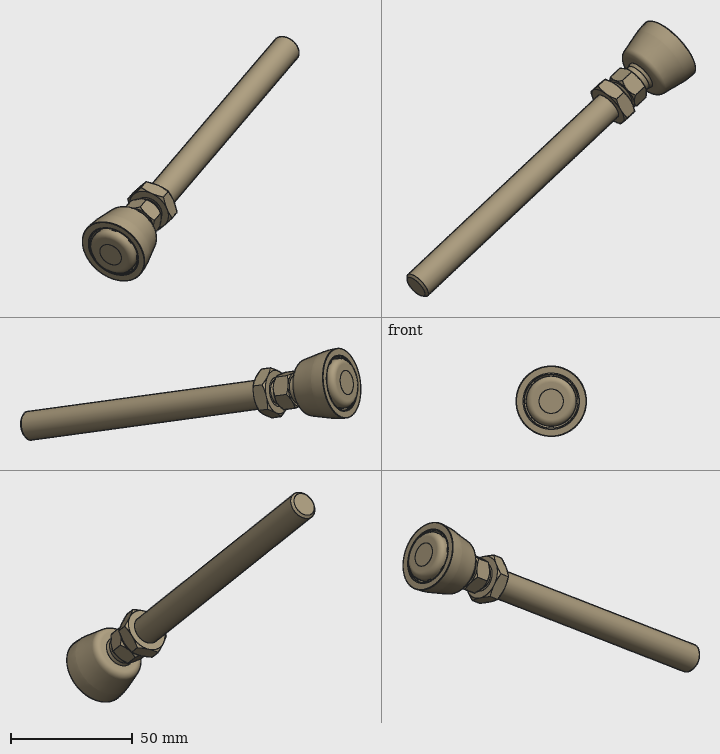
import cadquery as cq
import math


SPINDLE_TOP = 156.5
SHANK_RADIUS = 6.0
SHANK_CHAMFER = 1.0
NECK_TOP_RADIUS = 5.1
NECK_BOTTOM_RADIUS = 4.7
NECK_BOTTOM = 32.6
SPINDLE_HEX_ACROSS_FLATS = 14.0
SPINDLE_HEX_TOP = 31.5
SPINDLE_HEX_BOTTOM = 24.2
SPINDLE_HEX_CORNER_ANGLE = 25.0
HEX_SHOULDER_RADIUS = 5.7
COLLAR_BOTTOM = 21.5
FLARE_RADIUS = 6.5

NUT_ACROSS_FLATS = 18.0
NUT_TOP = 40.0
NUT_BOTTOM = 34.0
NUT_CORNER_ANGLE = -7.0

HEX_CHAMFER_ANGLE = 30.0
SPINDLE_HEX_TOP_CHAMFER_ANGLE = 45.0

HOUSING_TOP = 20.0
HOUSING_BOTTOM = 2.3
HOUSING_RADIUS = 14.5
HOUSING_CONE_ANGLE = 12.0
HOUSING_CONE_BOTTOM = 8.4
HOUSING_TOP_FILLET = 2.8
HOUSING_RIM_CHAMFER = 0.2
MOUTH_RADIUS = 11.6
MOUTH_DEPTH = 0.5
THROAT_RADIUS = 11.1
THROAT_DEPTH = 1.2
RIB_COUNT = 8
RIB_WIDTH = 1.8
RIB_RECESS = 0.3

PAD_RADIUS = 10.3
PAD_TOP = 8.4
PAD_FILLET = 2.5
SPINDLE_FOOT_RADIUS = 5.0


def revolve_about_y(profile):
    """Turn a closed (radius, Y) profile into a solid of revolution about the Y axis."""
    return profile.close().revolve(360, (0, 0, 0), (0, 1, 0))


def cylinder(radius, bottom, top):
    """Cylinder about the Y axis between two heights."""
    return cq.Workplane("XZ", origin=(0, bottom, 0)).circle(radius).extrude(bottom - top)


def hex_prism(across_flats, bottom, top, corner_angle, top_chamfer_angle=HEX_CHAMFER_ANGLE):
    """Hexagon about the Y axis with both ends chamfered conically to the inscribed circle."""
    corner_radius = across_flats / math.sqrt(3)
    flat_radius = across_flats / 2
    corner_overhang = corner_radius - flat_radius
    bottom_drop = corner_overhang * math.tan(math.radians(HEX_CHAMFER_ANGLE))
    top_drop = corner_overhang * math.tan(math.radians(top_chamfer_angle))
    prism = (
        cq.Workplane("XZ", origin=(0, bottom, 0))
        .polygon(6, 2 * corner_radius)
        .extrude(bottom - top)
        .rotate((0, 0, 0), (0, 1, 0), -corner_angle)
    )
    envelope = revolve_about_y(
        cq.Workplane("XY")
        .moveTo(0, bottom)
        .lineTo(flat_radius, bottom)
        .lineTo(corner_radius, bottom + bottom_drop)
        .lineTo(corner_radius, top - top_drop)
        .lineTo(flat_radius, top)
        .lineTo(0, top)
    )
    return prism.intersect(envelope)


def make_spindle():
    """Threaded shank, undercut neck, spanner hexagon and collar, with a foot through the pad."""
    turned = revolve_about_y(
        cq.Workplane("XY")
        .moveTo(0, 0)
        .lineTo(SPINDLE_FOOT_RADIUS, 0)
        .lineTo(SPINDLE_FOOT_RADIUS, PAD_TOP)
        .lineTo(FLARE_RADIUS, PAD_TOP)
        .lineTo(FLARE_RADIUS, HOUSING_TOP)
        .lineTo(SHANK_RADIUS, COLLAR_BOTTOM)
        .lineTo(SHANK_RADIUS, SPINDLE_HEX_BOTTOM)
        .lineTo(HEX_SHOULDER_RADIUS, SPINDLE_HEX_TOP)
        .lineTo(NECK_BOTTOM_RADIUS, NECK_BOTTOM)
        .lineTo(NECK_TOP_RADIUS, NUT_BOTTOM)
        .lineTo(SHANK_RADIUS, NUT_BOTTOM)
        .lineTo(SHANK_RADIUS, SPINDLE_TOP - SHANK_CHAMFER)
        .lineTo(SHANK_RADIUS - SHANK_CHAMFER, SPINDLE_TOP)
        .lineTo(0, SPINDLE_TOP)
    )
    spanner_hex = hex_prism(
        SPINDLE_HEX_ACROSS_FLATS,
        SPINDLE_HEX_BOTTOM,
        SPINDLE_HEX_TOP,
        SPINDLE_HEX_CORNER_ANGLE,
        SPINDLE_HEX_TOP_CHAMFER_ANGLE,
    )
    return turned.union(spanner_hex)


def make_nut():
    """Thin hexagon lock nut on the shank."""
    blank = hex_prism(NUT_ACROSS_FLATS, NUT_BOTTOM, NUT_TOP, NUT_CORNER_ANGLE)
    return blank.cut(cylinder(SHANK_RADIUS, NUT_BOTTOM, NUT_TOP))


def make_housing():
    """Bell-shaped foot: rounded shoulder, cone, curved skirt and a ribbed recess for the pad."""
    slope = math.radians(HOUSING_CONE_ANGLE)
    rim_top = HOUSING_BOTTOM + HOUSING_RIM_CHAMFER

    skirt_radius = (HOUSING_CONE_BOTTOM - rim_top) / math.sin(slope)
    cone_bottom_radius = HOUSING_RADIUS - skirt_radius * (1 - math.cos(slope))
    skirt_mid = (
        HOUSING_RADIUS - skirt_radius * (1 - math.cos(slope / 2)),
        rim_top + skirt_radius * math.sin(slope / 2),
    )

    fillet_center_y = HOUSING_TOP - HOUSING_TOP_FILLET
    cone_top = fillet_center_y + HOUSING_TOP_FILLET * math.sin(slope)
    cone_top_radius = cone_bottom_radius - (cone_top - HOUSING_CONE_BOTTOM) * math.tan(slope)
    fillet_center_radius = cone_top_radius - HOUSING_TOP_FILLET * math.cos(slope)
    mid_angle = (slope + math.pi / 2) / 2
    fillet_mid = (
        fillet_center_radius + HOUSING_TOP_FILLET * math.cos(mid_angle),
        fillet_center_y + HOUSING_TOP_FILLET * math.sin(mid_angle),
    )

    mouth_floor = HOUSING_BOTTOM + MOUTH_DEPTH
    rib_bottom = mouth_floor + RIB_RECESS
    shell = revolve_about_y(
        cq.Workplane("XY")
        .moveTo(MOUTH_RADIUS, HOUSING_BOTTOM)
        .lineTo(HOUSING_RADIUS - HOUSING_RIM_CHAMFER, HOUSING_BOTTOM)
        .lineTo(HOUSING_RADIUS, rim_top)
        .threePointArc(skirt_mid, (cone_bottom_radius, HOUSING_CONE_BOTTOM))
        .lineTo(cone_top_radius, cone_top)
        .threePointArc(fillet_mid, (fillet_center_radius, HOUSING_TOP))
        .lineTo(FLARE_RADIUS, HOUSING_TOP)
        .lineTo(FLARE_RADIUS, PAD_TOP)
        .lineTo(PAD_RADIUS, PAD_TOP)
        .lineTo(PAD_RADIUS, rib_bottom)
        .lineTo(THROAT_RADIUS, rib_bottom)
        .lineTo(THROAT_RADIUS, mouth_floor)
        .lineTo(MOUTH_RADIUS, mouth_floor)
    )

    hollows = revolve_about_y(
        cq.Workplane("XY")
        .moveTo(0, rib_bottom)
        .lineTo(THROAT_RADIUS, rib_bottom)
        .lineTo(PAD_RADIUS, rib_bottom + THROAT_DEPTH)
        .lineTo(0, rib_bottom + THROAT_DEPTH)
    )
    rib = (
        cq.Workplane("XY", origin=(0, rib_bottom, 0))
        .box(MOUTH_RADIUS, THROAT_DEPTH, RIB_WIDTH, centered=(False, False, True))
    )
    for index in range(RIB_COUNT):
        hollows = hollows.cut(rib.rotate((0, 0, 0), (0, 1, 0), index * 360 / RIB_COUNT))
    return shell.cut(hollows)


def make_pad():
    """Round pad seated in the housing, rounded at its lower edge, bored for the spindle foot."""
    blank = cylinder(PAD_RADIUS, 0, PAD_TOP).faces("<Y").edges().fillet(PAD_FILLET)
    return blank.cut(cylinder(SPINDLE_FOOT_RADIUS, 0, PAD_TOP))


spindle = make_spindle()
nut = make_nut()
housing = make_housing()
pad = make_pad()

result = cq.Compound.makeCompound([spindle.val(), nut.val(), housing.val(), pad.val()])